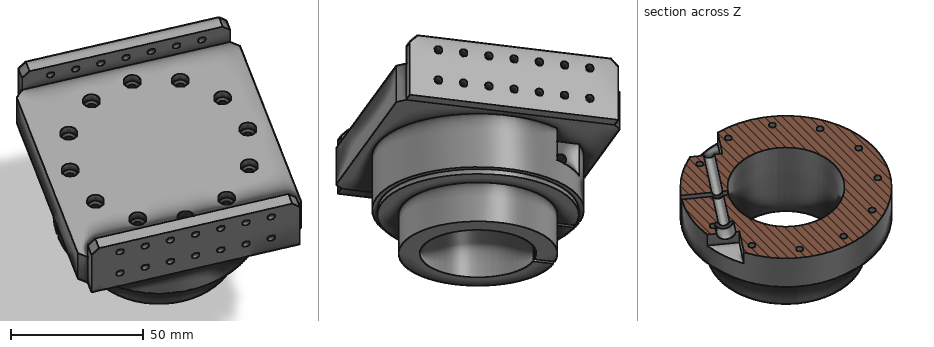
import cadquery as cq
import math

TURN_ANGLE = -30.0
OVERALL_X = 124.2

PLATE_WIDTH = 86.1
PLATE_THICKNESS = 15.0
CORNER_CHAMFER = 3.0

WALL_THICKNESS = 5.0
WALL_HEIGHT = 25.0
OVERALL_WIDTH = PLATE_WIDTH + 2 * WALL_THICKNESS
TURN = math.radians(abs(TURN_ANGLE))
WALL_LENGTH = (OVERALL_X - OVERALL_WIDTH * math.cos(TURN)) / math.sin(TURN)
PLATE_LENGTH = WALL_LENGTH + 2 * CORNER_CHAMFER

WALL_HOLE_DIAMETER = 3.0
WALL_HOLE_COUNT = 7
WALL_HOLE_PITCH = 10.0
UPPER_ROW_DROP = 5.0
LOWER_ROW_Z = PLATE_THICKNESS / 2
UPPER_ROW_Z = WALL_HEIGHT - UPPER_ROW_DROP

SCREW_COUNT = 12
SCREW_CIRCLE_DIAMETER = 70.1
SCREW_CLEARANCE_DIAMETER = 3.1
SCREW_HEAD_DIAMETER = 6.5
SCREW_HEAD_DEPTH = 3.6
SCREW_TAP_DIAMETER = 2.5
SCREW_TAP_DEPTH = 10.0

CLAMP_DIAMETER = 80.0
CLAMP_HEIGHT = 22.0
FLANGE_DIAMETER = 76.0
FLANGE_HEIGHT = 2.0
SPIGOT_DIAMETER = 60.0
SPIGOT_HEIGHT = 16.0
HUB_HEIGHT = CLAMP_HEIGHT + FLANGE_HEIGHT + SPIGOT_HEIGHT
BORE_DIAMETER = 44.0

SLIT_WIDTH = 2.0
SLIT_DIRECTION = -90

POCKET_SIDE_X = 22.1
POCKET_BACK_Y = -21.1
POCKET_HEIGHT = 13.0
CLAMP_SCREW_Y = -26.1
CLAMP_SCREW_DROP = 7.1
CLAMP_SCREW_DIAMETER = 4.1
CLAMP_HEAD_DIAMETER = 7.2
CLAMP_HEAD_DEPTH = 6.0


def turned(body):
    return body.rotate((0, 0, 0), (0, 0, 1), TURN_ANGLE)


def make_plate():
    plate = (
        cq.Workplane("XY")
        .rect(PLATE_WIDTH, PLATE_LENGTH)
        .extrude(PLATE_THICKNESS)
        .edges("|Z")
        .chamfer(CORNER_CHAMFER)
    )
    return (
        plate.faces(">Z")
        .workplane()
        .polarArray(SCREW_CIRCLE_DIAMETER / 2, SLIT_DIRECTION, 360, SCREW_COUNT)
        .cboreHole(SCREW_CLEARANCE_DIAMETER, SCREW_HEAD_DIAMETER, SCREW_HEAD_DEPTH)
    )


def make_wall(side):
    """Wall on the +X (side = 1) or -X (side = -1) edge of the plate."""
    middle_x = side * (PLATE_WIDTH + WALL_THICKNESS) / 2
    wall = (
        cq.Workplane("XY")
        .center(middle_x, 0)
        .rect(WALL_THICKNESS, WALL_LENGTH)
        .extrude(WALL_HEIGHT)
        .edges("|X and >Z")
        .chamfer(CORNER_CHAMFER)
    )
    for row_z in (LOWER_ROW_Z, UPPER_ROW_Z):
        holes = (
            cq.Workplane("YZ", origin=(middle_x, 0, row_z))
            .rarray(WALL_HOLE_PITCH, 1.2, WALL_HOLE_COUNT, 1)
            .circle(WALL_HOLE_DIAMETER / 2)
            .extrude(WALL_THICKNESS, both=True)
        )
        wall = wall.cut(holes)
    return wall


def make_stepped_hub():
    hub = cq.Workplane("XY").circle(CLAMP_DIAMETER / 2).extrude(-CLAMP_HEIGHT)
    hub = hub.faces("<Z").workplane().circle(FLANGE_DIAMETER / 2).extrude(FLANGE_HEIGHT)
    hub = hub.faces("<Z").workplane().circle(SPIGOT_DIAMETER / 2).extrude(SPIGOT_HEIGHT)
    return hub.faces("<Z").workplane().hole(BORE_DIAMETER)


def slit_cutter():
    """Slab from the hub's axis out through its -Y side."""
    return (
        cq.Workplane("XY")
        .center(0, -CLAMP_DIAMETER / 2)
        .rect(SLIT_WIDTH, CLAMP_DIAMETER)
        .extrude(-HUB_HEIGHT)
    )


def pocket_cutter(side):
    """Corner pocket at the top of the clamp ring, open to the outside."""
    reach = CLAMP_DIAMETER / 2
    return (
        cq.Workplane("XY")
        .moveTo(side * POCKET_SIDE_X, POCKET_BACK_Y)
        .lineTo(side * reach, POCKET_BACK_Y)
        .lineTo(side * reach, -reach)
        .lineTo(side * POCKET_SIDE_X, -reach)
        .close()
        .extrude(-POCKET_HEIGHT)
    )


def clamp_screw_cutter():
    """Hole from pocket to pocket across the slit, with its head recess on the +X side."""
    start = cq.Workplane("YZ", origin=(POCKET_SIDE_X, CLAMP_SCREW_Y, -CLAMP_SCREW_DROP))
    shank = start.circle(CLAMP_SCREW_DIAMETER / 2).extrude(-2 * POCKET_SIDE_X)
    head = start.circle(CLAMP_HEAD_DIAMETER / 2).extrude(-CLAMP_HEAD_DEPTH)
    return shank.union(head)


def tapped_holes():
    """Blind holes under the plate's screw holes, leaving out the one that meets the slit."""
    step = 360 / SCREW_COUNT
    return (
        cq.Workplane("XY")
        .polarArray(SCREW_CIRCLE_DIAMETER / 2, SLIT_DIRECTION + step, 360 - 2 * step, SCREW_COUNT - 1)
        .circle(SCREW_TAP_DIAMETER / 2)
        .extrude(-SCREW_TAP_DEPTH)
    )


def make_hub():
    hub = make_stepped_hub()
    hub = hub.cut(slit_cutter())
    for side in (-1, 1):
        hub = hub.cut(pocket_cutter(side))
    hub = hub.cut(clamp_screw_cutter())
    return hub.cut(tapped_holes())


plate = turned(make_plate())
walls = [turned(make_wall(side)) for side in (-1, 1)]
hub = turned(make_hub())

result = cq.Compound.makeCompound([
    plate.solids().val(),
    *[wall.solids().val() for wall in walls],
    hub.solids().val(),
])